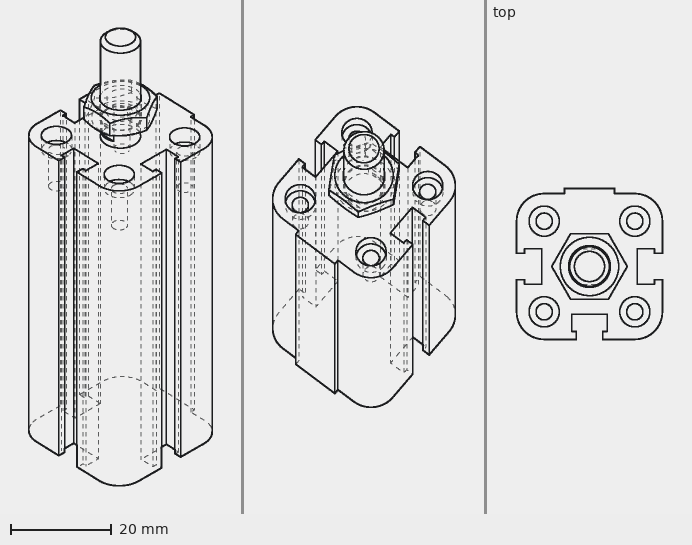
import cadquery as cq
import math

housing_width = 29.0
housing_height = 73.0
half_width = housing_width / 2
screw_offset = 9.0
corner_radius = half_width - screw_offset
rib_width = 10.0
rib_height = 1.0

slot_mouth_width = 5.2
slot_inner_width = 7.0
slot_lip = 1.6
slot_depth = 5.0

counterbore_diameter = 6.0
counterbore_depth = 3.5
screw_hole_diameter = 3.24
screw_hole_depth = 12.5

rod_top = 97.5
rod_diameter = 8.0
rod_tip_diameter = 6.0
taper_height = 0.8
neck_diameter = 7.8
flat_spacing = 7.0
flat_start_height = 1.4

nut_across_flats = 13.0
nut_thickness = 5.0
nut_bore_diameter = 8.3
nut_bottom = 77.5
nut_face_diameter = 11.6
nut_chamfer_angle = 30.0


def make_t_slot(angle):
    """T-slot cutter opening toward -Y, turned about the Z axis by angle."""
    mouth = cq.Workplane("XY").box(
        slot_mouth_width, slot_depth, housing_height, centered=(True, False, False)
    )
    inner = cq.Workplane("XY").box(
        slot_inner_width, slot_depth - slot_lip, housing_height, centered=(True, False, False)
    )
    slot = mouth.union(inner.translate((0, slot_lip, 0)))
    return slot.translate((0, -half_width, 0)).rotate((0, 0, 0), (0, 0, 1), angle)


def make_housing():
    """Rounded square extrusion with a rear rib, three T-slots and four stepped screw holes."""
    body = (
        cq.Workplane("XY")
        .rect(housing_width, housing_width)
        .extrude(housing_height)
        .edges("|Z")
        .fillet(corner_radius)
    )
    rib = cq.Workplane("XY").box(
        rib_width, half_width + rib_height, housing_height, centered=(True, False, False)
    )
    body = body.union(rib)
    for angle in (-90, 0, 90):
        body = body.cut(make_t_slot(angle))
    return (
        body.faces(">Z")
        .workplane(origin=(0, 0, housing_height))
        .rect(2 * screw_offset, 2 * screw_offset, forConstruction=True)
        .vertices()
        .cboreHole(screw_hole_diameter, counterbore_diameter, counterbore_depth, screw_hole_depth)
    )


def make_rod():
    """Turned rod with a slightly tapered foot, a neck with two wrench flats and a chamfered tip."""
    rod_radius = rod_diameter / 2
    neck_radius = neck_diameter / 2
    tip_radius = rod_tip_diameter / 2
    tip_chamfer = rod_radius - tip_radius
    taper_top = housing_height + taper_height
    rod = (
        cq.Workplane("XZ")
        .moveTo(0, housing_height)
        .lineTo(rod_radius, housing_height)
        .lineTo(neck_radius, taper_top)
        .lineTo(neck_radius, nut_bottom)
        .lineTo(rod_radius, nut_bottom)
        .lineTo(rod_radius, rod_top - tip_chamfer)
        .lineTo(tip_radius, rod_top)
        .lineTo(0, rod_top)
        .close()
        .revolve(360, (0, 0, 0), (0, 1, 0))
    )
    flat_bottom = housing_height + flat_start_height
    flat_cutter = cq.Workplane("XY").box(
        rod_diameter, rod_diameter, nut_bottom - flat_bottom, centered=(True, False, False)
    )
    flat_cutter = flat_cutter.translate((0, flat_spacing / 2, flat_bottom))
    for angle in (0, 180):
        rod = rod.cut(flat_cutter.rotate((0, 0, 0), (0, 0, 1), angle))
    return rod


def make_nut():
    """Hexagon trimmed by a cone at each end, bored with clearance around the rod."""
    corner_diameter = nut_across_flats / math.cos(math.pi / 6)
    corner_reach = corner_diameter / 2
    face_radius = nut_face_diameter / 2
    chamfer_drop = (corner_reach - face_radius) * math.tan(math.radians(nut_chamfer_angle))
    nut_top = nut_bottom + nut_thickness
    hexagon = (
        cq.Workplane("XY", origin=(0, 0, nut_bottom))
        .polygon(6, corner_diameter)
        .circle(nut_bore_diameter / 2)
        .extrude(nut_thickness)
    )
    chamfer_envelope = (
        cq.Workplane("XZ")
        .moveTo(0, nut_bottom)
        .lineTo(face_radius, nut_bottom)
        .lineTo(corner_reach, nut_bottom + chamfer_drop)
        .lineTo(corner_reach, nut_top - chamfer_drop)
        .lineTo(face_radius, nut_top)
        .lineTo(0, nut_top)
        .close()
        .revolve(360, (0, 0, 0), (0, 1, 0))
    )
    return hexagon.intersect(chamfer_envelope)


housing = make_housing()
rod = make_rod()
nut = make_nut()

result = cq.Compound.makeCompound([housing.solids().val(), rod.solids().val(), nut.solids().val()])